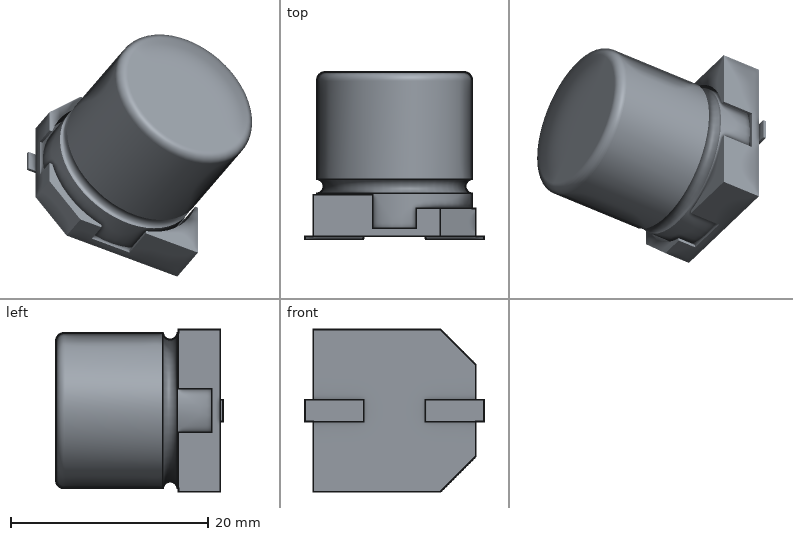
import cadquery as cq
import math

base_side = 16.5
base_corner_cut = 3.6
tall_corner_height = 4.25
low_corner_height = 2.85
floor_thickness = 0.85
notch_width = 4.39
seat_radius = 8.25

can_radius = 7.9
can_top = 16.7
can_rim_radius = 0.87
groove_center = 5.1
groove_half_width = 0.73
groove_depth = 0.67

lead_span = 18.2
lead_gap = 6.26
lead_width = 2.22
lead_thickness = 0.3
lead_edge_radius = 0.15


def box_between(x_range, y_range, z_range):
    """Axis-aligned box spanning the given ranges."""
    lengths = [high - low for low, high in (x_range, y_range, z_range)]
    corner = (x_range[0], y_range[0], z_range[0])
    return cq.Workplane("XY").box(*lengths, centered=False).translate(corner)


def make_base():
    """Base with two tall corners, two low bevelled corners and a notch in each side."""
    half = base_side / 2
    half_notch = notch_width / 2
    base = box_between((-half, half), (0, tall_corner_height), (-half, half))
    base = base.edges("|Y and >X").chamfer(base_corner_cut)

    base = base.cut(
        box_between((0, half), (low_corner_height, tall_corner_height), (-half, half))
    )

    above_floor = (floor_thickness, tall_corner_height)
    across = (-half, half)
    notch = (-half_notch, half_notch)
    base = base.cut(box_between(across, above_floor, notch))
    base = base.cut(box_between(notch, above_floor, across))

    seat_depth = tall_corner_height - floor_thickness
    seat = cq.Solid.makeCylinder(
        seat_radius, seat_depth, cq.Vector(0, floor_thickness, 0), cq.Vector(0, 1, 0)
    )
    return base.cut(seat)


def make_can():
    """Solid of revolution with a crimp groove and a rounded top rim."""
    rim_inset = can_rim_radius * (1 - math.sqrt(0.5))
    profile = (
        cq.Workplane("XY")
        .moveTo(0, floor_thickness)
        .lineTo(can_radius, floor_thickness)
        .lineTo(can_radius, groove_center - groove_half_width)
        .threePointArc(
            (can_radius - groove_depth, groove_center),
            (can_radius, groove_center + groove_half_width),
        )
        .lineTo(can_radius, can_top - can_rim_radius)
        .threePointArc(
            (can_radius - rim_inset, can_top - rim_inset),
            (can_radius - can_rim_radius, can_top),
        )
        .lineTo(0, can_top)
        .close()
    )
    return profile.revolve(360, (0, 0, 0), (0, 1, 0))


def make_lead(side):
    """Flat lead on the +X (side = 1) or -X (side = -1) end, rounded at its inner lower edge."""
    half_width = lead_width / 2
    lead = box_between(
        (lead_gap / 2, lead_span / 2), (-lead_thickness, 0), (-half_width, half_width)
    )
    lead = lead.faces("<X").edges("<Y").fillet(lead_edge_radius)
    if side < 0:
        lead = lead.mirror("YZ")
    return lead


base = make_base()
can = make_can()
leads = [make_lead(side) for side in (-1, 1)]

result = cq.Compound.makeCompound([base.val(), can.val(), *[lead.val() for lead in leads]])